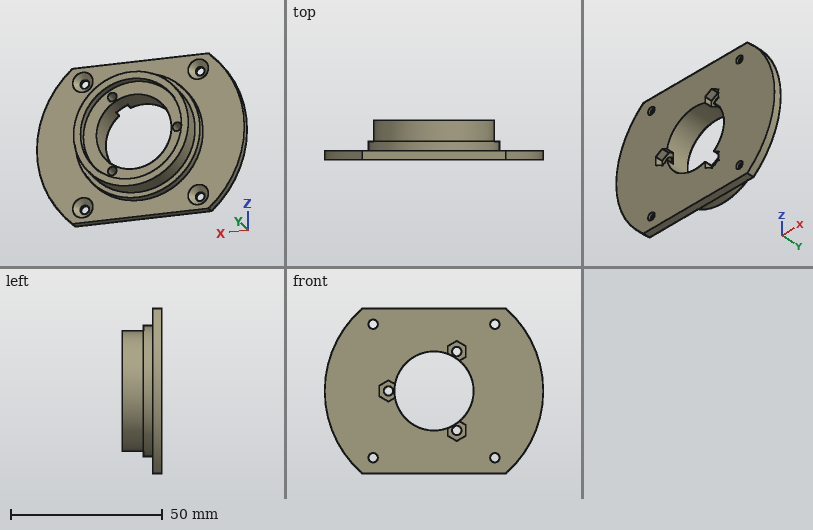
import cadquery as cq
import math

plate_diameter = 72.0
plate_height = 54.35
plate_thickness = 3.0

total_depth = 13.0
flange_diameter = 43.3
flange_thickness = 3.0
hub_diameter = 39.8

bore_diameter = 26.0
recess_diameter = 35.0
recess_depth = 3.0

screw_hole_diameter = 3.0
countersink_diameter = 7.0
mount_spacing_x = 40.0
mount_spacing_z = 43.9

nut_count = 3
nut_circle_radius = 15.0
nut_across_flats = 6.05
nut_pocket_depth = 3.0
first_nut_angle = 60.0


def cylinder(diameter, start, length):
    """Cylinder along +Y, centred on the bore axis."""
    plane = cq.Workplane("XZ", origin=(0, start, 0))
    return plane.circle(diameter / 2).extrude(-length)


def make_plate():
    disc = cylinder(plate_diameter, 0, plate_thickness)
    flats = cq.Workplane("XY").box(plate_diameter, 2 * plate_thickness, plate_height)
    return disc.intersect(flats)


def make_hub():
    flange = cylinder(flange_diameter, 0, plate_thickness + flange_thickness)
    return flange.union(cylinder(hub_diameter, 0, total_depth))


def make_bore():
    bore = cylinder(bore_diameter, 0, total_depth)
    return bore.union(cylinder(recess_diameter, total_depth - recess_depth, recess_depth))


def make_mount_holes():
    """Corner holes, countersunk from the rear face of the plate."""
    rear = cq.Workplane("XZ", origin=(0, plate_thickness, 0))
    screw = cylinder(screw_hole_diameter, 0, plate_thickness)
    sink_depth = (countersink_diameter - screw_hole_diameter) / 2
    cone = rear.circle(countersink_diameter / 2).workplane(offset=sink_depth)
    cone = cone.circle(screw_hole_diameter / 2).loft()
    hole = screw.union(cone).val()
    corners = cq.Workplane("XZ").rect(mount_spacing_x, mount_spacing_z, forConstruction=True).vertices()
    holes = cq.Workplane("XY")
    for corner in corners.vals():
        holes = holes.add(hole.translate(corner.Center()))
    return holes.combine()


def make_nut_seat(angle):
    """Hexagonal pocket and through hole at one angle around the bore."""
    x = nut_circle_radius * math.cos(math.radians(angle))
    z = nut_circle_radius * math.sin(math.radians(angle))
    across_corners = nut_across_flats / math.cos(math.radians(30))
    pocket = cq.Workplane("XZ").polygon(6, across_corners).extrude(-nut_pocket_depth)
    pocket = pocket.rotate((0, 0, 0), (0, 1, 0), 30)
    seat = pocket.union(cylinder(screw_hole_diameter, 0, total_depth))
    return seat.translate((x, 0, z))


result = make_plate().union(make_hub())
result = result.cut(make_bore()).cut(make_mount_holes())
for index in range(nut_count):
    result = result.cut(make_nut_seat(first_nut_angle + index * 360 / nut_count))